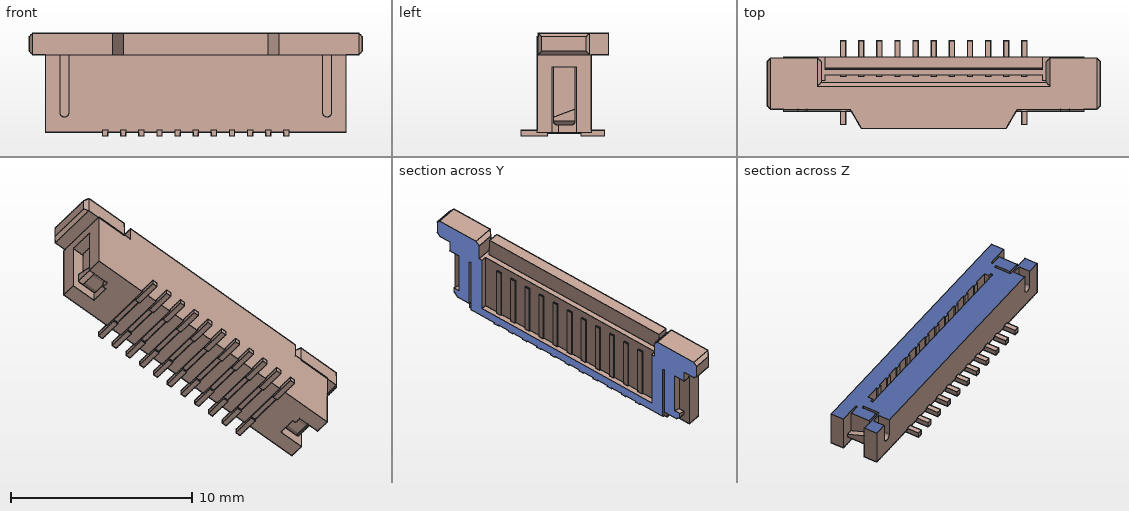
import cadquery as cq
import math

total_height = 5.68
cap_height = 1.2
body_bottom = 0.2
body_top = total_height - cap_height

body_length = 16.6
body_depth = 3.0
back_y = body_depth / 2
front_y = -back_y

wall_length = 12.0
wall_top = 5.5
wall_inner_y = 0.88
wall_draft_angle = 4.4

slot_floor = 0.8
slot_back_y = 0.5
slot_step_y = 0.21

groove_width = 0.5
groove_x = 7.25
groove_bottom = 1.05
groove_depth = 0.7

channel_width = 1.36
channel_top = 3.8
channel_depth = 1.3
channel_step_y = 0.33
channel_step_depth = 0.2

cap_length = 18.4
cap_back_y = 1.45
cap_front_y = -1.4
cap_chamfer = 0.2
nose_front_y = -2.45
nose_tip_length = 8.0
nose_flank_angle = 60.0

opening_length = 12.4
opening_front_y = 0.1
opening_chamfer = 0.22

leg_width = 1.2
leg_outer_x = 7.65
leg_inner_x = 6.9
hook_outer_x = 8.0
leg_bottom = 0.6
leg_rounding = 0.24
hook_chamfer = 0.24
hook_top_back = 1.04
hook_top_front = 1.49

contact_count = 11
contact_pitch = 1.0
contact_width = 0.3
contact_back_y = 2.4
contact_front_y = -2.23
contact_thickness = 0.32
foot_inner_y = 0.92
foot_step = 0.13
tip_y = 0.42
tip_embedded_y = 0.7
tip_top = 4.0


def box(x_min, x_max, y_min, y_max, z_min, z_max):
    size = (x_max - x_min, y_max - y_min, z_max - z_min)
    return cq.Workplane("XY").box(*size, centered=False).translate((x_min, y_min, z_min))


def centered_box(length, y_min, y_max, z_min, z_max):
    return box(-length / 2, length / 2, y_min, y_max, z_min, z_max)


def both_ends(shape):
    """Return the shape at the +X end together with its mirror at the -X end."""
    return shape.union(shape.mirror("YZ"))


def make_back_wall():
    draft = (wall_top - body_top) * math.tan(math.radians(wall_draft_angle))
    return (
        cq.Workplane("YZ")
        .moveTo(back_y, body_top)
        .lineTo(back_y, wall_top)
        .lineTo(wall_inner_y, wall_top)
        .lineTo(wall_inner_y - draft, body_top)
        .close()
        .extrude(wall_length / 2, both=True)
    )


def make_cable_slot():
    slot = centered_box(wall_length, opening_front_y, slot_back_y, slot_floor, body_top)
    wide_part = centered_box(opening_length, opening_front_y, slot_step_y, slot_floor, body_top)
    return slot.union(wide_part)


def make_groove():
    radius = groove_width / 2
    return (
        cq.Workplane("XZ", origin=(groove_x, front_y, 0))
        .moveTo(-radius, body_top)
        .lineTo(-radius, groove_bottom + radius)
        .threePointArc((0, groove_bottom), (radius, groove_bottom + radius))
        .lineTo(radius, body_top)
        .close()
        .extrude(-groove_depth)
    )


def make_end_channel():
    half_width = channel_width / 2
    end_x = body_length / 2
    inner_x = end_x - channel_depth
    channel = box(inner_x, end_x, -half_width, half_width, body_bottom, channel_top)
    step = box(
        inner_x - channel_step_depth, inner_x, -half_width, channel_step_y, body_bottom, channel_top
    )
    return channel.union(step)


def make_body():
    body = centered_box(body_length, front_y, back_y, body_bottom, body_top)
    body = body.cut(make_cable_slot())
    body = body.cut(both_ends(make_end_channel()))
    body = body.cut(both_ends(make_groove()))
    return body.union(make_back_wall())


def make_cap_nose():
    flank_run = (cap_front_y - nose_front_y) / math.tan(math.radians(nose_flank_angle))
    tip_x = nose_tip_length / 2
    base_x = tip_x + flank_run
    return (
        cq.Workplane("XY", origin=(0, 0, body_top))
        .polyline(
            [(-base_x, cap_front_y), (-tip_x, nose_front_y), (tip_x, nose_front_y), (base_x, cap_front_y)]
        )
        .close()
        .extrude(cap_height)
    )


def make_cap_opening():
    """Opening with 45 degree lead-ins along its top rim and its back corners."""
    half_length = opening_length / 2
    opening = centered_box(opening_length, opening_front_y, cap_back_y, body_top, total_height)
    back_flare = (
        cq.Workplane("XY", origin=(0, 0, body_top))
        .polyline(
            [
                (-half_length, cap_back_y - opening_chamfer),
                (-half_length - opening_chamfer, cap_back_y),
                (half_length + opening_chamfer, cap_back_y),
                (half_length, cap_back_y - opening_chamfer),
            ]
        )
        .close()
        .extrude(cap_height)
    )
    flare_back_y = cap_back_y + opening_chamfer
    flare_depth = flare_back_y - opening_front_y
    rim_flare = (
        cq.Workplane("XY", origin=(0, (opening_front_y + flare_back_y) / 2, total_height))
        .rect(opening_length + 2 * opening_chamfer, flare_depth + 2 * opening_chamfer)
        .workplane(offset=-opening_chamfer)
        .rect(opening_length, flare_depth)
        .loft(ruled=True)
    )
    return opening.union(back_flare).union(rim_flare)


def make_cap():
    cap = centered_box(cap_length, cap_front_y, cap_back_y, body_top, total_height)
    cap = cap.faces("<X or >X").chamfer(cap_chamfer)
    return cap.union(make_cap_nose()).cut(make_cap_opening())


def make_leg():
    """Leg at the +X end with a rounded foot, a sloping hook and a 45 degree lead-in."""
    half_width = leg_width / 2
    leg = box(leg_inner_x, leg_outer_x, -half_width, half_width, leg_bottom, body_top)
    hook = (
        cq.Workplane("YZ", origin=(leg_inner_x, 0, 0))
        .moveTo(-half_width, leg_bottom)
        .lineTo(half_width, leg_bottom)
        .lineTo(half_width, hook_top_back)
        .lineTo(-half_width, hook_top_front)
        .close()
        .extrude(hook_outer_x - leg_inner_x)
    )
    leg = leg.union(hook).faces("<Z").edges("|X").fillet(leg_rounding)
    lead_in = (
        cq.Workplane("XZ")
        .moveTo(hook_outer_x, leg_bottom)
        .lineTo(hook_outer_x, leg_bottom + hook_chamfer)
        .lineTo(hook_outer_x - hook_chamfer, leg_bottom)
        .close()
        .extrude(half_width, both=True)
    )
    return leg.cut(lead_in)


def make_contact(x):
    x_min = x - contact_width / 2
    x_max = x + contact_width / 2
    strip = box(x_min, x_max, contact_front_y, contact_back_y, 0, contact_thickness)
    relief = box(x_min, x_max, -foot_inner_y, foot_inner_y, 0, foot_step)
    tip = box(x_min, x_max, tip_y, tip_embedded_y, foot_step, tip_top)
    return strip.cut(relief).union(tip)


result = make_body().union(make_cap()).union(both_ends(make_leg()))
for index in range(contact_count):
    contact_x = (index - (contact_count - 1) / 2) * contact_pitch
    result = result.union(make_contact(contact_x))